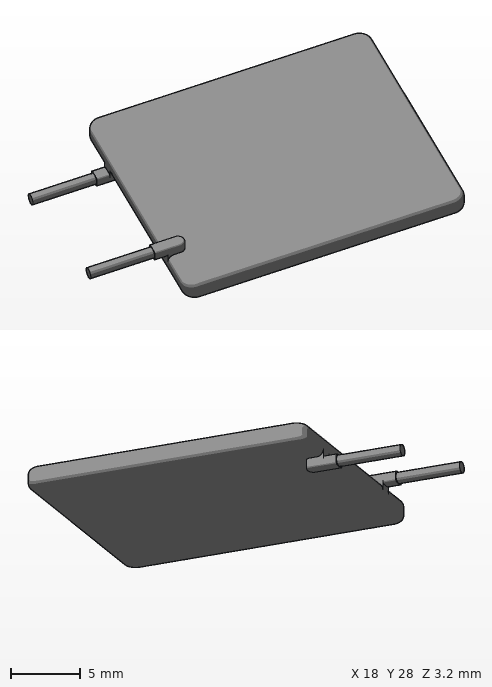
import cadquery as cq

plate_width = 18.0
plate_length = 22.0
plate_thickness = 1.6
corner_radius = 1.0
plate_edge_radius = 0.5

overall_length = 28.0
overall_height = 3.2
lead_diameter = 0.85
lead_spacing = 10.2

holder_width = 1.0
holder_back_reach = 1.5
holder_front_reach = 1.0
holder_edge_radius = 0.22

plate_front_y = -plate_length / 2
holder_back_y = plate_front_y + holder_back_reach
holder_front_y = plate_front_y - holder_front_reach
lead_tip_y = plate_length / 2 - overall_length
holder_top_z = overall_height / 2
holder_underside_z = holder_top_z - lead_diameter
lead_axis_z = holder_top_z - lead_diameter / 2


def make_plate():
    """Rectangular plate with round corners and rounded top and bottom rims."""
    plate = cq.Workplane("XY").box(plate_width, plate_length, plate_thickness)
    plate = plate.edges("|Z").fillet(corner_radius)
    return plate.faces("<Z or >Z").edges().fillet(plate_edge_radius)


def make_round_backed_bar(front_y, bottom_z, top_z):
    """Upright bar as wide as the holder, flat at the front and half round at the back."""
    half_width = holder_width / 2
    round_centre_y = holder_back_y - half_width
    return (
        cq.Workplane("XY", origin=(0, 0, bottom_z))
        .moveTo(-half_width, front_y)
        .lineTo(half_width, front_y)
        .lineTo(half_width, round_centre_y)
        .threePointArc((0, holder_back_y), (-half_width, round_centre_y))
        .close()
        .extrude(top_z - bottom_z)
    )


def make_holder():
    """Arm with rounded long edges, on a neck flush with the plate's front face."""
    arm = make_round_backed_bar(holder_front_y, holder_underside_z, holder_top_z)
    arm = arm.faces(">Z").edges("not <Y").fillet(holder_edge_radius)
    arm = arm.faces("<Z").edges("|Y").fillet(holder_edge_radius)
    neck = make_round_backed_bar(plate_front_y, 0, lead_axis_z)
    return arm.union(neck)


def make_lead():
    """Round wire running forward from the holder."""
    return (
        cq.Workplane("XZ", origin=(0, holder_front_y, lead_axis_z))
        .circle(lead_diameter / 2)
        .extrude(holder_front_y - lead_tip_y)
    )


upper_terminal = make_holder().union(make_lead())
lower_terminal = upper_terminal.mirror("XY")

result = (
    make_plate()
    .union(upper_terminal.translate((lead_spacing / 2, 0, 0)))
    .union(lower_terminal.translate((-lead_spacing / 2, 0, 0)))
)